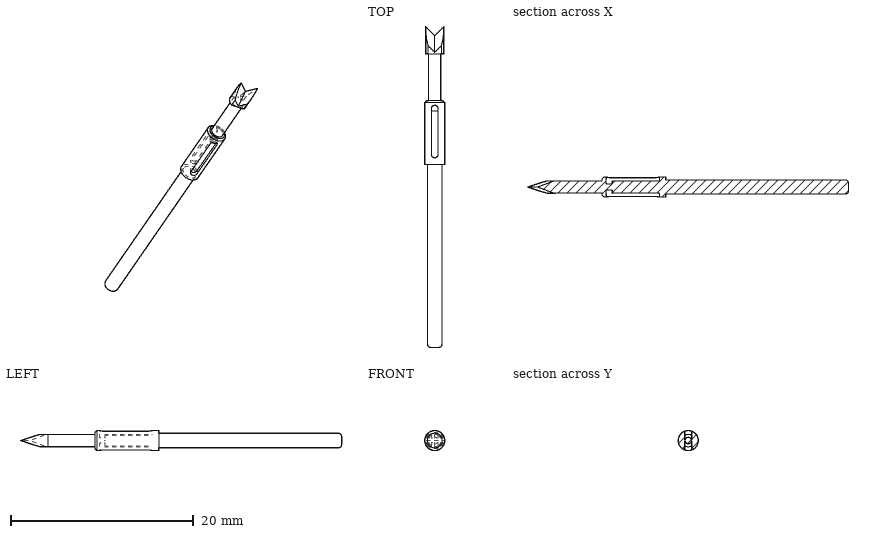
import cadquery as cq

LENGTH = 35.1
SLEEVE_DIAMETER = 2.2
TAIL_DIAMETER = 1.6
SHAFT_DIAMETER = 1.37
HEAD_DIAMETER = 2.0

TAIL_FILLET = 0.4
SLEEVE_LENGTH = 7.0
SLEEVE_CHAMFER = 0.2
SLEEVE_FRONT = LENGTH - 8.1
SLEEVE_BACK = SLEEVE_FRONT - SLEEVE_LENGTH

SLOT_WIDTH = 0.75
SLOT_LENGTH = 5.75
SLOT_FRONT = SLEEVE_FRONT - 0.5
SLOT_BACK = SLOT_FRONT - SLOT_LENGTH
CORE_DIAMETER = SHAFT_DIAMETER
NECK_DIAMETER = SLOT_WIDTH
NECK_LENGTH = 0.63

HEAD_LENGTH = 3.0
HEAD_BACK = LENGTH - HEAD_LENGTH
FLAT_HEIGHT = SHAFT_DIAMETER / 2
NOTCH_DEPTH = HEAD_DIAMETER / 2
VALLEY_RUN = 1.83


def rod(diameter, start, end):
    """Solid cylinder along Y between two Y positions."""
    return cq.Workplane("XZ", origin=(0, start, 0)).circle(diameter / 2).extrude(start - end)


def make_tail():
    return rod(TAIL_DIAMETER, 0, SLEEVE_BACK).faces("<Y").edges().fillet(TAIL_FILLET)


def make_slots():
    """Cutter for round-ended slots above and below, sparing the core and its neck."""
    slots = (
        cq.Workplane("XY", origin=(0, (SLOT_BACK + SLOT_FRONT) / 2, 0))
        .slot2D(SLOT_LENGTH, SLOT_WIDTH, 90)
        .extrude(SLEEVE_DIAMETER, both=True)
    )
    neck_back = SLOT_FRONT - NECK_LENGTH
    core = rod(CORE_DIAMETER, SLOT_BACK, neck_back)
    neck = rod(NECK_DIAMETER, neck_back, SLOT_FRONT)
    return slots.cut(core).cut(neck)


def make_sleeve():
    sleeve = rod(SLEEVE_DIAMETER, SLEEVE_BACK, SLEEVE_FRONT)
    sleeve = sleeve.faces(">Y").edges().chamfer(SLEEVE_CHAMFER)
    return sleeve.cut(make_slots())


def make_notch(side):
    """V-groove cutter whose valley slopes back from mid-height to one flat (side is +1 or -1)."""
    reach = 2 * HEAD_LENGTH
    valley_y = LENGTH - NOTCH_DEPTH
    outline = [
        cq.Vector(0, valley_y, 0),
        cq.Vector(reach, valley_y + reach, 0),
        cq.Vector(-reach, valley_y + reach, 0),
    ]
    face = cq.Face.makeFromWires(cq.Wire.makePolygon(outline, close=True))
    slope = cq.Vector(0, -VALLEY_RUN, side * FLAT_HEIGHT)
    return cq.Workplane(cq.Solid.extrudeLinear(face, slope * 2))


def make_head():
    flats = cq.Workplane().box(HEAD_DIAMETER, 2 * LENGTH, 2 * FLAT_HEIGHT)
    head = rod(HEAD_DIAMETER, HEAD_BACK, LENGTH).intersect(flats)
    for side in (1, -1):
        head = head.cut(make_notch(side))
    return head


shaft = rod(SHAFT_DIAMETER, SLEEVE_FRONT, HEAD_BACK)
result = make_tail().union(make_sleeve()).union(shaft).union(make_head())